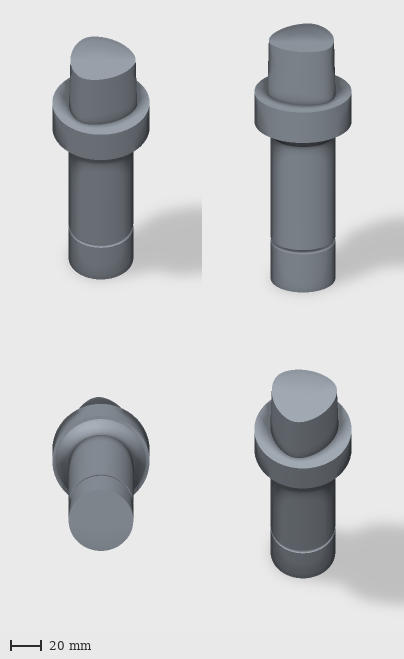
import cadquery as cq
import math

total_length = 173.0
taper_length = 38.0
taper_diameter = 44.15
taper_ratio = 1 / 20
lobe_height = 1.4
curve_points = 36

flange_diameter = 63.0
flange_thickness = 22.0
neck_cone_height = 8.0
shank_diameter = 42.0
neck_cone_diameter = shank_diameter + 2 * neck_cone_height

spigot_diameter = 33.5
spigot_length = 3.0
nut_diameter = shank_diameter
nut_length = 27.5

flange_bottom = -flange_thickness
cone_bottom = flange_bottom - neck_cone_height
holder_bottom = taper_length - total_length + nut_length
shank_bottom = holder_bottom + spigot_length


def polygon_point(angle, mean_radius):
    """Point of a three-lobed curve of constant width whose normal is at this angle; a lobe faces -Y."""
    reach = mean_radius + lobe_height * math.sin(3 * angle)
    shift = 3 * lobe_height * math.cos(3 * angle)
    return (
        reach * math.cos(angle) - shift * math.sin(angle),
        reach * math.sin(angle) + shift * math.cos(angle),
    )


def polygon_points(diameter):
    """Points around one closed polygon section, starting at the -Y lobe."""
    step = 2 * math.pi / curve_points
    return [polygon_point(-math.pi / 2 + i * step, diameter / 2) for i in range(curve_points)]


def make_taper():
    """Tapered polygon shank above the gauge plane."""
    end_diameter = taper_diameter - taper_ratio * taper_length
    return (
        cq.Workplane("XY")
        .spline(polygon_points(taper_diameter), periodic=True)
        .wire()
        .workplane(offset=taper_length)
        .spline(polygon_points(end_diameter), periodic=True)
        .wire()
        .loft(ruled=True)
    )


def make_turned_body():
    """Flange, neck cone, shank and spigot, turned about Z."""
    return (
        cq.Workplane("XZ")
        .moveTo(0, 0)
        .lineTo(flange_diameter / 2, 0)
        .lineTo(flange_diameter / 2, flange_bottom)
        .lineTo(neck_cone_diameter / 2, flange_bottom)
        .lineTo(shank_diameter / 2, cone_bottom)
        .lineTo(shank_diameter / 2, shank_bottom)
        .lineTo(spigot_diameter / 2, shank_bottom)
        .lineTo(spigot_diameter / 2, holder_bottom)
        .lineTo(0, holder_bottom)
        .close()
        .revolve(360, (0, 0, 0), (0, 1, 0))
    )


def make_holder():
    """Tool holder: polygon taper joined to the turned body."""
    return make_turned_body().union(make_taper())


def make_nut():
    """Plain round nut under the spigot, leaving a gap below the shank."""
    return (
        cq.Workplane("XY", origin=(0, 0, holder_bottom))
        .circle(nut_diameter / 2)
        .extrude(-nut_length)
    )


holder = make_holder()
nut = make_nut()

result = cq.Compound.makeCompound([holder.solids().val(), nut.val()])